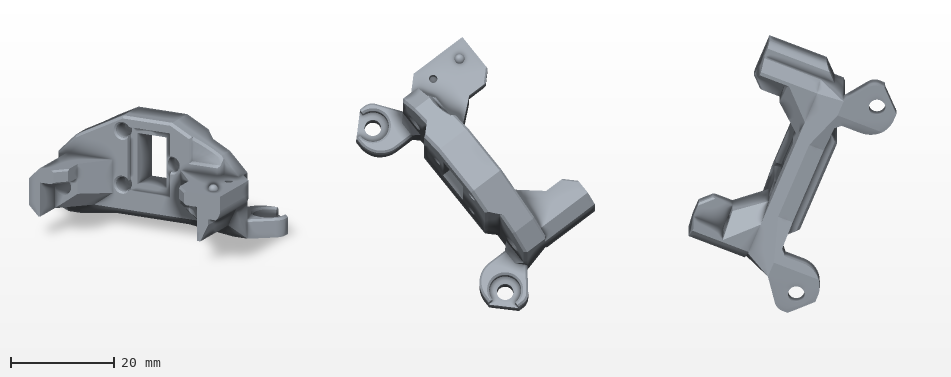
import cadquery as cq


half_width = 19.5
plate_height = 22.65
crest_half_width = 5.3
shoulder_x, shoulder_z = 15.7, 17.25
side_top_z = 13.4
plate_back_y = 5.3
edge_chamfer = 0.5
slope_end_y = plate_back_y - edge_chamfer
sill_z = 3.8

pad_back_y = 7.45
pad_half_width = 9.55
pad_edge_half_width = 9.95
pad_chamfer = 0.6
pad_bottom_z = 3.5

arch_z = 2.0
arch_top_half_width = 8.0
arch_foot_half_width = 16.4

corner_top_z = 7.35
corner_inner_x = 17.8

window_x = (-2.7, 3.65)
window_z = (8.85, 19.2)
frame_x = (-4.15, 5.15)
frame_z = (7.5, 20.6)
frame_depth = 1.35

screw_spots = [(-5.35, 19.6), (-5.35, 8.7), (5.45, 14.15)]
screw_hole_d = 1.95
screw_head_d = 2.95
screw_head_depth = 4.0
screw_head_chamfer = 0.35

arm_top_z = 13.5
arm_front_y = -11.75
arm_inner_x = 12.1
wall_inner_x = 17.1
slab_bottom_z = 10.7
arm_top_chamfer = 2.2
arm_bottom_chamfer = 2.0
slab_corner = 2.1
slab_edge_chamfer = 0.35
gusset_front_y = -5.6
gusset_inner_x = 7.35
gusset_low_x = 11.4
gusset_bevel_z = 6.75
bore_x, bore_z = 15.3, 8.5
bore_d = 3.5

lug_x = 22.15
lug_bottom_z = 8.55
lug_back_y = 2.85
lug_arc_start_z = 10.6
lug_arc_end_x = 21.15
lug_arc_mid = (21.85, 9.45)

step_y = 1.3
step_start_x = 15.4
step_end_x = 16.3
hollow_left_x = 9.2
hollow_right_x = 17.7
hollow_bottom_z = 15.0
hollow_rim = 0.5
hollow_slope = 0.6
lip_height, lip_depth = 0.6, 0.3

pin_x, pin_y = 19.0, -8.6
pin_r = 0.95
pin_center_z = 13.7
pin_hole_y = -2.15
pin_hole_d = 1.6
pin_hole_depth = 1.2

tab_x = 25.0
tab_inner_x = 14.55
tab_back_y = 15.25
tab_corner_y = 8.8
tab_outer_r = 2.5
tab_inner_r = 5.0
tab_chamfer = 0.4
tab_cut_y = 11.15
tab_hole_x, tab_hole_y = 20.8, 11.25
tab_hole_d = 3.2
tab_seat_d = 6.2
tab_seat_z = 2.15
tab_seat_chamfer = 0.4
rib_leg = 1.2
rib_outer_x, rib_inner_x = 19.0, 13.45

beyond_part = 50.0
overcut = 0.5


def box(x, y, z):
    """Box spanning the given (low, high) pairs."""
    size = [high - low for low, high in (x, y, z)]
    return cq.Workplane("XY").box(*size, centered=False).translate((x[0], y[0], z[0]))


def front_prism(points, y_start, y_end):
    """Prism with an X-Z outline running from y_start to y_end."""
    return cq.Workplane("XZ", origin=(0, y_start, 0)).polyline(points).close().extrude(y_start - y_end)


def slanted_prism(points, y_start, vector):
    """Prism whose X-Z outline at y_start is swept along a slanted vector."""
    wire = cq.Wire.makePolygon([cq.Vector(x, y_start, z) for x, z in points], close=True)
    return cq.Workplane(obj=cq.Solid.extrudeLinear(wire, [], cq.Vector(*vector)))


def rod(x, z, diameter, y_start, y_end):
    """Cylinder along Y."""
    plane = cq.Workplane("XZ", origin=(x, y_start, z))
    return plane.circle(diameter / 2).extrude(y_start - y_end)


def mirrored(body):
    return body.mirror("YZ")


def plate_blank():
    """Faceted plate with bevelled edges and a raised pad on its back."""
    outline = [
        (-half_width, 0),
        (-half_width, side_top_z),
        (-shoulder_x, shoulder_z),
        (-crest_half_width, plate_height),
        (crest_half_width, plate_height),
        (shoulder_x, shoulder_z),
        (half_width, side_top_z),
        (half_width, 0),
    ]
    plate = front_prism(outline, 0, plate_back_y)
    plate = plate.faces(">Y").edges("not <Z").chamfer(edge_chamfer)
    plate = plate.faces("<Y").edges("not (<Z or >X)").chamfer(edge_chamfer)

    pad_edge_y = pad_back_y - pad_chamfer
    pad_base_half_width = pad_edge_half_width + pad_edge_y - slope_end_y
    pad_plan = [
        (-pad_base_half_width, slope_end_y),
        (-pad_edge_half_width, pad_edge_y),
        (-pad_half_width, pad_back_y),
        (pad_half_width, pad_back_y),
        (pad_edge_half_width, pad_edge_y),
        (pad_base_half_width, slope_end_y),
    ]
    pad = cq.Workplane("XY").polyline(pad_plan).close().extrude(plate_height)
    pad_outline = front_prism(outline, 0, pad_back_y)
    pad_heights = (pad_bottom_z, plate_height)
    pad_outline = pad_outline.intersect(box((-half_width, half_width), (0, pad_back_y), pad_heights))
    pad = pad.intersect(pad_outline.faces(">Y").edges().chamfer(pad_chamfer))
    return plate.union(pad)


def hollow():
    """Hollow at the upper right: a twisted floor that deepens up and to the right.

    Its left and lower rims are sloped, and so is its lip along the top edge of the plate.
    """
    left = hollow_left_x + hollow_rim
    bottom = hollow_bottom_z + hollow_rim
    width = hollow_right_x - left
    front = -overcut
    roof_fall = (plate_height - shoulder_z) / (shoulder_x - crest_half_width)

    def floor_y(x, z):
        return hollow_rim + hollow_slope * (z - bottom) * (x - left) / width

    def floor_section(x):
        points = [(front, bottom), (floor_y(x, bottom), bottom), (floor_y(x, plate_height), plate_height)]
        return section_wire(x, points + [(front, plate_height)])

    def lip_section(x):
        top = plate_height - (x - crest_half_width) * roof_fall
        low = top - lip_height
        high = top + lip_height
        y = floor_y(x, low)
        return section_wire(x, [(front, low), (y, low), (y + 2 * lip_depth, high), (front, high)])

    def section_wire(x, points):
        return cq.Wire.makePolygon([cq.Vector(x, y, z) for y, z in points], close=True)

    floor = cq.Solid.makeLoft([floor_section(left), floor_section(left + width)], True)
    lip = cq.Solid.makeLoft([lip_section(left + width * part) for part in (0, 0.5, 1)])
    rim = (
        cq.Workplane("XZ", origin=(left, hollow_rim, bottom))
        .rect(beyond_part, beyond_part, centered=False)
        .workplane(offset=hollow_rim)
        .center(-hollow_rim, -hollow_rim)
        .rect(beyond_part, beyond_part, centered=False)
        .loft(ruled=True)
    )
    return rim.union(cq.Workplane(obj=floor)).union(cq.Workplane(obj=lip))


def end_step():
    """Space removed above the right arm where the plate front is set back."""
    plan = [
        (step_start_x, -overcut),
        (step_start_x, 0),
        (step_start_x + edge_chamfer, edge_chamfer),
        (step_end_x, step_y),
        (beyond_part, step_y),
        (beyond_part, -overcut),
    ]
    return cq.Workplane("XY", origin=(0, 0, arm_top_z)).polyline(plan).close().extrude(beyond_part)


def sill_cut():
    """Wedge below the sloping underside that joins the sill to the back."""
    side = [(0, 0), (0, sill_z), (slope_end_y, 0)]
    return cq.Workplane("YZ").polyline(side).close().extrude(half_width, both=True)


def corner_cut():
    """Wedge that bevels the lower left corner of the plate."""
    run = (half_width - corner_inner_x) / (corner_top_z - sill_z)
    inner = half_width - run * corner_top_z
    triangle = [(-half_width, corner_top_z), (-inner, 0), (-half_width, 0)]
    return slanted_prism(triangle, 0, (corner_inner_x - half_width, slope_end_y, -sill_z))


def arm_core():
    """Left-hand top slab and gusset shared by both arms."""
    plan = [
        (-half_width + arm_top_chamfer, 0),
        (-half_width + arm_top_chamfer, arm_front_y),
        (-arm_inner_x - slab_corner, arm_front_y),
        (-arm_inner_x, arm_front_y + slab_corner),
        (-arm_inner_x, 0),
    ]
    slab = cq.Workplane("XY", origin=(0, 0, slab_bottom_z)).polyline(plan).close()
    slab = slab.extrude(arm_top_z - slab_bottom_z)
    slab = slab.edges(cq.selectors.ParallelDirSelector(cq.Vector(1, 1, 0))).chamfer(slab_edge_chamfer)

    gusset_plan = [
        (-wall_inner_x, 0),
        (-wall_inner_x, gusset_front_y),
        (-arm_inner_x, gusset_front_y),
        (-gusset_inner_x, 0),
    ]
    gusset = cq.Workplane("XY", origin=(0, 0, sill_z)).polyline(gusset_plan).close()
    gusset = gusset.extrude(arm_top_z - sill_z)
    sweep = (gusset_low_x - wall_inner_x, gusset_front_y, 0)
    incline = (gusset_bevel_z - sill_z) / (gusset_low_x - gusset_inner_x)
    bevel_end_x = gusset_low_x
    reach = bevel_end_x + gusset_low_x
    bevel = [(-gusset_low_x, sill_z), (bevel_end_x, sill_z + incline * reach), (bevel_end_x, sill_z)]
    return slab.union(gusset.cut(slanted_prism(bevel, 0, sweep)))


def left_wall():
    outline = [
        (-half_width, arm_top_z - arm_top_chamfer),
        (-half_width + arm_top_chamfer, arm_top_z),
        (-wall_inner_x, arm_top_z),
        (-wall_inner_x, sill_z),
        (-half_width + arm_bottom_chamfer, sill_z),
        (-half_width, sill_z + arm_bottom_chamfer),
    ]
    return front_prism(outline, arm_front_y, edge_chamfer)


def right_wall():
    """Outer wall of the right arm with the lug that overhangs past the plate end."""
    outline = (
        cq.Workplane("XZ", origin=(0, arm_front_y, 0))
        .moveTo(wall_inner_x, arm_top_z)
        .lineTo(lug_x, arm_top_z)
        .lineTo(lug_x, lug_arc_start_z)
        .threePointArc(lug_arc_mid, (lug_arc_end_x, lug_bottom_z))
        .lineTo(half_width, lug_bottom_z)
        .lineTo(half_width, corner_top_z)
        .lineTo(corner_inner_x, sill_z)
        .lineTo(wall_inner_x, sill_z)
        .close()
    )
    wall = outline.extrude(arm_front_y - lug_back_y)
    overhang = lug_x - half_width
    corner = [(lug_x, lug_back_y - overhang), (lug_x, lug_back_y), (half_width, lug_back_y)]
    return wall.cut(cq.Workplane("XY").polyline(corner).close().extrude(arm_top_z))


def tab_rib():
    """Sloped rib between the left tab and the plate back."""
    foot_y = plate_back_y + rib_leg
    plan = [
        (-rib_outer_x, plate_back_y),
        (-rib_outer_x + rib_leg, foot_y),
        (-rib_inner_x - rib_leg, foot_y),
        (-rib_inner_x, plate_back_y),
    ]
    top_z = sill_z + rib_leg
    side = [(plate_back_y, 0), (plate_back_y, top_z), (foot_y, sill_z), (foot_y, 0)]
    slope = cq.Workplane("YZ").polyline(side).close().extrude(-half_width)
    return cq.Workplane("XY").polyline(plan).close().extrude(top_z).intersect(slope)


def tab():
    """Left mounting tab with a screw seat open to its bevelled corner."""
    plan = [
        (-half_width, slope_end_y),
        (-tab_x, tab_corner_y),
        (-tab_x, tab_back_y),
        (-tab_inner_x, tab_back_y),
        (-tab_inner_x, slope_end_y),
    ]
    body = cq.Workplane("XY").polyline(plan).close().extrude(sill_z)
    outer_edge = cq.selectors.NearestToPointSelector((-tab_x, tab_corner_y, sill_z / 2))
    body = body.edges(outer_edge).fillet(tab_outer_r)
    body = body.edges("|Z and >X and >Y").fillet(tab_inner_r)
    body = body.faces(">Z").edges("not <Y").chamfer(tab_chamfer)

    bevel = tab_back_y - tab_cut_y
    corner = [(-tab_x, tab_cut_y), (-tab_x, tab_back_y), (-tab_x + bevel, tab_back_y)]
    body = body.cut(cq.Workplane("XY").polyline(corner).close().extrude(sill_z))

    center = (-tab_hole_x, tab_hole_y)
    body = body.cut(cq.Workplane("XY").center(*center).circle(tab_hole_d / 2).extrude(sill_z))
    seat = cq.Workplane("XY", origin=(*center, tab_seat_z)).circle(tab_seat_d / 2)
    seat = seat.extrude(sill_z - tab_seat_z)
    flare = cq.Workplane("XY", origin=(*center, sill_z - tab_seat_chamfer)).circle(tab_seat_d / 2)
    flare = flare.workplane(offset=tab_seat_chamfer).circle(tab_seat_d / 2 + tab_seat_chamfer).loft()
    mouth = box((-tab_x, -tab_hole_x), (tab_hole_y, tab_back_y), (tab_seat_z, sill_z))
    body = body.cut(seat).cut(flare).cut(mouth)

    return body.union(tab_rib())


def screw_hole(x, z):
    """Stepped hole with a flared mouth on the plate front."""
    head_r = screw_head_d / 2
    flare = cq.Workplane("XZ", origin=(x, 0, z)).circle(head_r + screw_head_chamfer)
    flare = flare.workplane(offset=-screw_head_chamfer).circle(head_r).loft()
    shank = rod(x, z, screw_hole_d, 0, pad_back_y)
    head = rod(x, z, screw_head_d, 0, screw_head_depth)
    return shank.union(head).union(flare)


def pin():
    """Ball set into the arm top so that little more than its upper half stands proud."""
    return cq.Workplane("XY", origin=(pin_x, pin_y, pin_center_z)).sphere(pin_r)


def arch():
    """Relief that lifts the middle of the underside."""
    outline = [
        (-arch_foot_half_width, 0),
        (-arch_top_half_width, arch_z),
        (arch_top_half_width, arch_z),
        (arch_foot_half_width, 0),
    ]
    return front_prism(outline, 0, tab_back_y)


plate = plate_blank().cut(hollow())
plate = plate.cut(sill_cut())
plate = plate.cut(end_step())

body = plate.union(left_wall()).union(right_wall())
body = body.cut(corner_cut()).cut(mirrored(corner_cut()))
body = body.union(arm_core()).union(mirrored(arm_core()))

body = body.union(tab()).union(mirrored(tab()))
body = body.cut(arch())

body = body.cut(box(window_x, (0, pad_back_y), window_z))
body = body.cut(box(frame_x, (0, frame_depth), frame_z))
for x, z in screw_spots:
    body = body.cut(screw_hole(x, z))
for side in (-1, 1):
    body = body.cut(rod(side * bore_x, bore_z, bore_d, gusset_front_y, pad_back_y))
pin_hole = cq.Workplane("XY", origin=(pin_x, pin_hole_y, arm_top_z)).circle(pin_hole_d / 2)
body = body.cut(pin_hole.extrude(-pin_hole_depth))
result = body.union(pin())